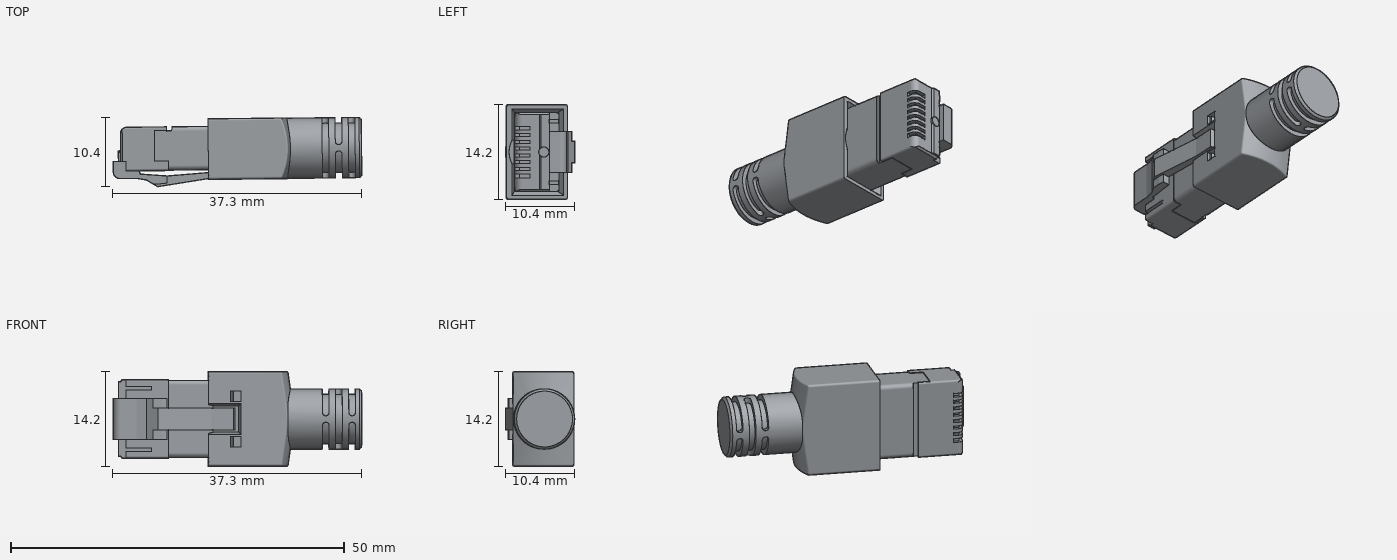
import cadquery as cq
import math

tilt_angle = 0.63

overlap = 1.0

boot_half_y = 4.56
boot_half_z = 7.1
boot_edge_radius = 0.34
boot_end_crest_x = 12.95
boot_end_edge_x = 11.95
boot_end_radius = 0.27
boot_end_slope = 0.14

tail_radius = 4.53
tail_end_x = 22.98
tail_end_chamfer = 0.35
relief_width = 1.0
relief_depth = 0.8
relief_gap = 0.96
relief_first_x = 17.57
relief_pitch = 1.97

mouth_depth = 1.0
mouth_half_z = 6.48
mouth_top_y = 3.74
mouth_bottom_y = -3.97
scallop_half_width = 1.79
scallop_rise = 0.46

plug_half_z = 5.89
plug_top_y = 3.43
plug_bottom_y = -3.16
plug_front_x = -13.15
plug_top_front_radius = 1.0
shell_edge_radius = 0.3
body_half_z = 5.78
body_bottom_step = 0.06
body_bottom_y = plug_bottom_y + body_bottom_step
body_edge_radius = 0.68
body_inside_boot = 2.0
side_recess_x = -8.05
side_recess_top_y = 2.9
shell_end_x = -6.0
shell_ledge_y = -1.68
shell_ledge_x = -12.34
nose_x = -13.45
nose_top_y = -0.2
nose_step = 0.22
top_groove_start_x = -6.2
top_groove_end_x = -5.4
top_groove_depth = 0.6
top_groove_lean = 0.15
top_groove_lean_height = 0.2
gate_radius = 0.76
gate_height = 0.04
gate_y = -0.85

contact_count = 8
contact_pitch = 1.02
contact_width = 0.45
outer_contact_width = 0.58
contact_bottom_y = 1.22
contact_blade_y = 2.75
contact_front_depth = 0.6
contact_top_length = 1.6

slit_center_z = 4.6
slit_width = 0.58
slit_end_x = -8.55

latch_front_x = -14.27
latch_nose_radius = 1.04
latch_bottom_y = -4.28
latch_half_width = 3.09
latch_arm_half_width = 1.64
latch_bend_x = 0.5
latch_end_x = 3.95
latch_end_bevel = 0.24
latch_knee_y = -4.34
shoulder_start_x = -8.36
shoulder_bend_x = -7.05
shoulder_end_x = -6.2
shoulder_drop = 0.1

window_half_z = 2.31
window_end_x = 4.85
window_depth = 1.2
window_draft = 0.33
pocket_size = 1.58
pocket_center_z = 3.39
pocket_ledge_length = 0.28
pocket_ledge_slope = 0.22
pocket_ledge_depth = 0.5


def box(x_range, y_range, z_range):
    """Axis-aligned block from three (low, high) ranges."""
    size = [high - low for low, high in (x_range, y_range, z_range)]
    low_corner = (x_range[0], y_range[0], z_range[0])
    return cq.Workplane("XY").box(*size, centered=False).translate(low_corner)


def plate(points, half_width):
    """XY outline extruded evenly to both sides of Z = 0."""
    return cq.Workplane("XY").polyline(points).close().extrude(half_width, both=True)


def make_boot_half(side):
    """Half of the boot on one side of Z = 0, with its bowed, sloping end."""
    reach = boot_half_z + overlap
    outline = (
        cq.Workplane("XY")
        .moveTo(-reach, -boot_half_y)
        .lineTo(boot_end_edge_x, -boot_half_y)
        .threePointArc((boot_end_crest_x, 0), (boot_end_edge_x, boot_half_y))
        .lineTo(-reach, boot_half_y)
        .close()
    )
    lean = cq.Vector(-boot_end_slope * boot_half_z, 0, side * boot_half_z)
    return cq.Workplane(cq.Solid.extrudeLinear(outline.val(), [], lean))


def make_boot():
    bowed = make_boot_half(1).union(make_boot_half(-1))
    blank = box(
        (0, boot_end_crest_x + overlap),
        (-boot_half_y, boot_half_y),
        (-boot_half_z, boot_half_z),
    ).edges("|X").fillet(boot_edge_radius)
    boot = blank.intersect(bowed)

    reach = boot_half_z + overlap
    margin = 0.1
    rim_start_x = boot_end_edge_x - boot_end_slope * boot_half_z - margin
    end_zone = cq.selectors.BoxSelector((rim_start_x, -reach, -reach), (boot_end_crest_x, reach, reach))
    crease = cq.selectors.BoxSelector((rim_start_x, -margin, -margin), (boot_end_crest_x, margin, margin))
    return boot.edges(end_zone - crease).fillet(boot_end_radius)


def make_relief(x, direction):
    """Pair of round-ended arc slots, centred on +direction and -direction."""
    start = cq.Workplane("YZ").workplane(offset=x - relief_width / 2)
    ring = start.circle(tail_radius + overlap).circle(tail_radius - relief_depth).extrude(relief_width)
    length = 2 * tail_radius
    offset = relief_gap / 2 + length / 2
    plane = "XZ" if direction == "Z" else "XY"
    slots = (
        cq.Workplane(plane)
        .pushPoints([(x, offset), (x, -offset)])
        .slot2D(length, relief_width, 90)
        .extrude(length, both=True)
    )
    return ring.intersect(slots)


def make_tail():
    tail_start_x = boot_end_edge_x - 2 * overlap
    tail = (
        cq.Workplane("YZ")
        .workplane(offset=tail_start_x)
        .circle(tail_radius)
        .extrude(tail_end_x - tail_start_x)
        .faces(">X")
        .chamfer(tail_end_chamfer)
    )
    for row, direction in enumerate(("Z", "Y", "Z")):
        tail = tail.cut(make_relief(relief_first_x + row * relief_pitch, direction))
    return tail


def make_mouth():
    """Flared opening that narrows to the plug body, with a scallop above."""
    mouth_center_y = (mouth_top_y + mouth_bottom_y) / 2
    throat_center_y = (plug_top_y + body_bottom_y) / 2
    flare = (
        cq.Workplane("YZ")
        .center(mouth_center_y, 0)
        .rect(mouth_top_y - mouth_bottom_y, 2 * mouth_half_z)
        .workplane(offset=mouth_depth)
        .center(throat_center_y - mouth_center_y, 0)
        .rect(plug_top_y - body_bottom_y, 2 * plug_half_z)
        .loft(ruled=True)
    )
    scallop = (
        cq.Workplane("YZ")
        .moveTo(0, -scallop_half_width)
        .lineTo(mouth_top_y, -scallop_half_width)
        .threePointArc((mouth_top_y + scallop_rise, 0), (mouth_top_y, scallop_half_width))
        .lineTo(0, scallop_half_width)
        .close()
        .extrude(mouth_depth)
    )
    return flare.union(scallop)


def make_window():
    """Drafted recess around the latch arm, open at the boot mouth."""
    run_in = 2 * overlap
    draft_angle = math.degrees(math.atan2(window_draft, window_depth))
    return (
        cq.Workplane("XZ", origin=(0, -boot_half_y, 0))
        .center((window_end_x - run_in) / 2, 0)
        .rect(window_end_x + run_in, 2 * window_half_z)
        .extrude(-window_depth, taper=draft_angle)
    )


def make_pocket(side):
    """Square pocket beside the window, with a sloped ledge at its front."""
    start_x = window_end_x - pocket_size
    floor_y = -boot_half_y + window_depth
    ledge_y = -boot_half_y + pocket_ledge_depth
    outline = [
        (start_x, -boot_half_y),
        (window_end_x, -boot_half_y),
        (window_end_x, floor_y),
        (start_x + pocket_ledge_length + pocket_ledge_slope, floor_y),
        (start_x + pocket_ledge_length, ledge_y),
        (start_x, ledge_y),
    ]
    return plate(outline, pocket_size / 2).translate((0, 0, side * pocket_center_z))


def make_shell():
    """Front shell of the plug, stepped around the nose and the body sides."""
    block = box(
        (plug_front_x, shell_end_x),
        (plug_bottom_y, plug_top_y),
        (-plug_half_z, plug_half_z),
    ).edges("|X").fillet(shell_edge_radius)
    side_profile = (
        cq.Workplane("XY")
        .moveTo(plug_front_x, plug_bottom_y)
        .lineTo(shell_end_x, plug_bottom_y)
        .lineTo(shell_end_x, shell_ledge_y)
        .lineTo(top_groove_start_x, shell_ledge_y)
        .lineTo(top_groove_start_x, plug_top_y)
        .lineTo(plug_front_x + plug_top_front_radius, plug_top_y)
        .radiusArc((plug_front_x, plug_top_y - plug_top_front_radius), -plug_top_front_radius)
        .close()
        .extrude(plug_half_z, both=True)
    )
    bevelled_plan = (
        cq.Workplane("XZ")
        .center((plug_front_x + shell_end_x) / 2, 0)
        .rect(shell_end_x - plug_front_x, 2 * plug_half_z)
        .extrude(plug_top_y - 2 * plug_bottom_y, both=True)
        .edges("<X and |Y")
        .chamfer(shell_edge_radius)
    )
    shell = block.intersect(side_profile).intersect(bevelled_plan)
    for side in (-1, 1):
        recess = box(
            (side_recess_x, shell_end_x),
            (shell_ledge_y, side_recess_top_y),
            (body_half_z, plug_half_z),
        )
        if side < 0:
            recess = recess.mirror("XY")
        shell = shell.cut(recess)
    return shell


def make_nose():
    """Raised lower band on the front face, with a bevelled upper edge."""
    outline = [
        (plug_front_x, nose_top_y),
        (nose_x, nose_top_y - nose_step),
        (nose_x, shell_ledge_y),
        (plug_front_x + overlap, shell_ledge_y),
        (plug_front_x + overlap, nose_top_y),
    ]
    gate = (
        cq.Workplane("YZ", origin=(nose_x - gate_height, gate_y, 0))
        .circle(gate_radius)
        .extrude(plug_front_x - nose_x + overlap)
    )
    return plate(outline, plug_half_z - shell_edge_radius).union(gate)


def make_body():
    """Rear body of the plug, running from inside the shell into the boot."""
    body = box(
        (side_recess_x - overlap, body_inside_boot),
        (body_bottom_y, plug_top_y),
        (-body_half_z, body_half_z),
    ).edges("|X").fillet(body_edge_radius)
    groove_floor_y = plug_top_y - top_groove_depth
    groove = [
        (top_groove_start_x, plug_top_y),
        (top_groove_start_x, groove_floor_y),
        (top_groove_end_x - top_groove_lean, groove_floor_y),
        (top_groove_end_x, groove_floor_y + top_groove_lean_height),
        (top_groove_end_x, plug_top_y),
    ]
    return body.cut(plate(groove, plug_half_z))


def make_contact_slot(index):
    z = (index - (contact_count - 1) / 2) * contact_pitch
    is_outer = index in (0, contact_count - 1)
    width = outer_contact_width if is_outer else contact_width
    z_range = (z - width / 2, z + width / 2)
    front = box(
        (plug_front_x, plug_front_x + contact_front_depth),
        (contact_bottom_y, contact_blade_y),
        z_range,
    )
    top = box(
        (plug_front_x, plug_front_x + contact_top_length),
        (contact_blade_y, plug_top_y),
        z_range,
    )
    return front.union(top)


def make_plug():
    plug = make_shell().union(make_body()).union(make_nose())
    plug = plug.cut(
        box(
            (nose_x, shell_ledge_x),
            (plug_bottom_y, shell_ledge_y),
            (-plug_half_z, plug_half_z),
        )
    )
    for index in range(contact_count):
        plug = plug.cut(make_contact_slot(index))
    for side in (-1, 1):
        slit_z = side * slit_center_z
        plug = plug.cut(
            box(
                (shell_ledge_x, slit_end_x),
                (plug_bottom_y, shell_ledge_y),
                (slit_z - slit_width / 2, slit_z + slit_width / 2),
            )
        )
    return plug


def make_latch():
    """Wide thumb end hinged at the plug front, and a narrow arm into the boot."""
    hinge_end = (-10.39, plug_bottom_y)
    hinge_root = (-10.19, -3.61)
    under_bend = (shoulder_end_x, -3.93)
    arm_under = (latch_bend_x, -3.45)
    slope_start = (-10.75, latch_bottom_y)
    slope_break = (-9.33, -4.52)
    ridge = (-7.61, -5.55)
    floor_y = -boot_half_y + window_depth

    slope_fraction = (shoulder_start_x - slope_break[0]) / (ridge[0] - slope_break[0])
    shoulder_y = slope_break[1] + slope_fraction * (ridge[1] - slope_break[1])

    wide_outline = [
        (latch_front_x, shell_ledge_y),
        (latch_front_x, latch_bottom_y),
        slope_start,
        slope_break,
        (shoulder_start_x, shoulder_y),
        (shoulder_bend_x, shoulder_y),
        (shoulder_end_x, shoulder_y + shoulder_drop),
        under_bend,
        hinge_root,
        hinge_end,
        (shell_ledge_x, plug_bottom_y),
        (shell_ledge_x, shell_ledge_y),
    ]
    arm_outline = [
        slope_break,
        ridge,
        (latch_bend_x, latch_knee_y),
        (latch_end_x - latch_end_bevel, latch_knee_y),
        (latch_end_x, floor_y),
        (latch_bend_x, floor_y),
        arm_under,
        under_bend,
    ]
    wide = plate(wide_outline, latch_half_width)
    wide = wide.edges(
        cq.selectors.NearestToPointSelector((latch_front_x, latch_bottom_y, 0))
    ).fillet(latch_nose_radius)
    return wide.union(plate(arm_outline, latch_arm_half_width))


def make_boot_with_openings():
    boot = make_boot().union(make_tail())
    boot = boot.cut(make_mouth()).cut(make_window())
    for side in (-1, 1):
        boot = boot.cut(make_pocket(side))
    return boot


assembly = make_boot_with_openings().union(make_plug()).union(make_latch())
result = assembly.rotate((0, 0, 0), (0, 0, 1), tilt_angle)